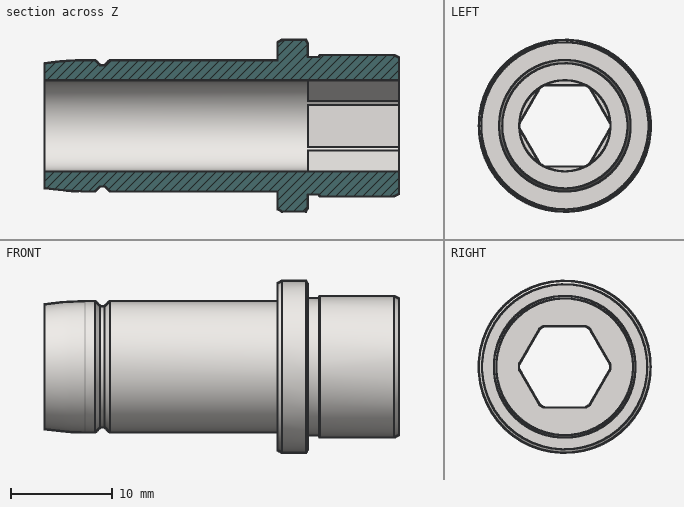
import math

import cadquery as cq


length = 35.0
nose_length = 4.0
groove_start = 5.0
groove_end = 6.45
flange_start = 23.0
flange_end = 26.0
head_start = 27.1

nose_arc_radius = 25.0
body_radius = 6.5
groove_depth = 0.5
flange_radius = 8.5
neck_radius = 6.8
head_radius = 7.0

flange_front_chamfer_length = 0.45
flange_back_chamfer_length = 0.2
flange_front_chamfer_height = 0.25
flange_back_chamfer_height = 0.35
head_front_chamfer = 0.1
head_end_chamfer_length = 0.5
head_end_chamfer_height = 0.25

bore_radius = 4.5
hex_across_flats = 8.0
hex_length = length - flange_end


def nose_point(x):
    """Point on the nose arc, which meets the body tangentially at nose_length."""
    run = nose_length - x
    drop = nose_arc_radius - math.sqrt(nose_arc_radius**2 - run**2)
    return x, body_radius - drop


def sleeve_body():
    """Solid of revolution carrying the nose, groove, flange, neck and head."""
    groove_radius = body_radius - groove_depth
    profile = (
        cq.Workplane("XY")
        .lineTo(*nose_point(0))
        .threePointArc(nose_point(nose_length / 2), nose_point(nose_length))
        .lineTo(groove_start, body_radius)
        .lineTo(groove_start + groove_depth, groove_radius)
        .lineTo(groove_end - groove_depth, groove_radius)
        .lineTo(groove_end, body_radius)
        .lineTo(flange_start, body_radius)
        .lineTo(flange_start, flange_radius - flange_front_chamfer_height)
        .lineTo(flange_start + flange_front_chamfer_length, flange_radius)
        .lineTo(flange_end - flange_back_chamfer_length, flange_radius)
        .lineTo(flange_end, flange_radius - flange_back_chamfer_height)
        .lineTo(flange_end, neck_radius)
        .lineTo(head_start, neck_radius)
        .lineTo(head_start, head_radius - head_front_chamfer)
        .lineTo(head_start + head_front_chamfer, head_radius)
        .lineTo(length - head_end_chamfer_length, head_radius)
        .lineTo(length, head_radius - head_end_chamfer_height)
        .lineTo(length, 0)
        .close()
    )
    return profile.revolve(360, (0, 0, 0), (1, 0, 0))


def round_bore():
    """Plain bore from the nose to the start of the hexagon."""
    return cq.Workplane("YZ").circle(bore_radius).extrude(length - hex_length)


def hex_socket():
    """Hexagonal opening through the head, corners on the Y axis, clipped to the bore circle."""
    across_corners = hex_across_flats / math.cos(math.pi / 6)
    socket_plane = cq.Workplane("YZ", origin=(length - hex_length, 0, 0))
    hexagon = socket_plane.polygon(6, across_corners).extrude(hex_length)
    bore_envelope = socket_plane.circle(bore_radius).extrude(hex_length)
    return hexagon.intersect(bore_envelope)


result = sleeve_body().cut(round_bore()).cut(hex_socket())